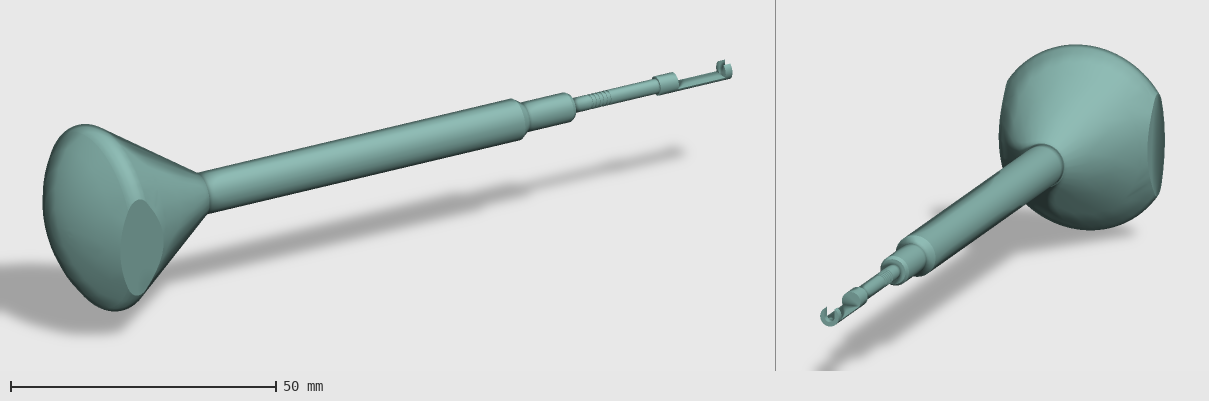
import cadquery as cq
import math


total_length = 144.0
grip_end = 30.1
shaft_end = 98.2
ferrule_start = 100.0
ferrule_end = 110.0
collar_start = 128.6
collar_end = 132.5
hook_thickness = 1.5
hook_start = total_length - hook_thickness

grip_radius = 18.0
grip_neck_radius = 4.3
rim_fillet = 3.0
dome_radius = 25.0
grip_width = 30.0

shaft_radius = 4.0
ferrule_radius = 2.9
ferrule_chamfer_length = 0.7
ferrule_chamfer_depth = 0.5
rod_radius = 1.5
collar_radius = 1.9
hook_floor = -0.79
notch_radius = 1.0

groove_count = 6
groove_width = 0.39
groove_pitch = 2 * groove_width
groove_depth = 0.1
first_groove = 113.9


def make_grip():
    """Domed knob with a rounded rim and a conical neck, cut by two flats."""
    rim_r = grip_radius - rim_fillet
    rim_y = dome_radius - math.sqrt((dome_radius - rim_fillet) ** 2 - rim_r**2)

    dome_scale = dome_radius / (dome_radius - rim_fillet)
    dome_edge = (rim_r * dome_scale, dome_radius + (rim_y - dome_radius) * dome_scale)
    half_angle = math.asin(dome_edge[0] / dome_radius) / 2
    dome_middle = (dome_radius * math.sin(half_angle), dome_radius * (1 - math.cos(half_angle)))

    neck_r = grip_neck_radius - rim_r
    neck_y = grip_end - rim_y
    tangent_angle = math.atan2(neck_y, neck_r) - math.acos(rim_fillet / math.hypot(neck_r, neck_y))
    cone_edge = (
        rim_r + rim_fillet * math.cos(tangent_angle),
        rim_y + rim_fillet * math.sin(tangent_angle),
    )

    knob = (
        cq.Workplane("XY")
        .moveTo(0, 0)
        .threePointArc(dome_middle, dome_edge)
        .threePointArc((grip_radius, rim_y), cone_edge)
        .lineTo(grip_neck_radius, grip_end)
        .lineTo(0, grip_end)
        .close()
        .revolve(360, (0, 0), (0, 1))
    )
    flats = cq.Workplane("XY").box(grip_width, 2 * grip_end, 2 * grip_radius)
    return knob.intersect(flats)


def make_stem():
    """Shaft, chamfered ferrule, thin rod and collar as one turned profile."""
    profile = [
        (0, grip_end),
        (shaft_radius, grip_end),
        (shaft_radius, shaft_end),
        (ferrule_radius, ferrule_start),
        (ferrule_radius, ferrule_end - ferrule_chamfer_length),
        (ferrule_radius - ferrule_chamfer_depth, ferrule_end),
        (rod_radius, ferrule_end),
        (rod_radius, collar_start),
        (collar_radius, collar_start),
        (collar_radius, total_length),
        (0, total_length),
    ]
    return cq.Workplane("XY").polyline(profile).close().revolve(360, (0, 0), (0, 1))


def along_y(section_radius, start, length):
    """Cylinder on the tool axis."""
    return cq.Workplane("XZ", origin=(0, start, 0)).circle(section_radius).extrude(-length)


def cut_hook(body):
    """Open the tip above a flat floor, leaving an end wall with a U-shaped notch."""
    opening = cq.Workplane("XY", origin=(0, collar_end, hook_floor)).box(
        2 * collar_radius, hook_start - collar_end, 2 * collar_radius, centered=(True, False, False)
    )
    notch = along_y(notch_radius, hook_start, hook_thickness)
    notch_mouth = cq.Workplane("XY", origin=(0, hook_start, 0)).box(
        2 * notch_radius, hook_thickness, collar_radius, centered=(True, False, False)
    )
    return body.cut(opening).cut(notch).cut(notch_mouth)


def cut_grooves(body):
    """Cut the evenly spaced ring grooves in the rod."""
    for index in range(groove_count):
        start = first_groove + index * groove_pitch
        ring = along_y(collar_radius, start, groove_width).cut(
            along_y(rod_radius - groove_depth, start, groove_width)
        )
        body = body.cut(ring)
    return body


result = cut_grooves(cut_hook(make_grip().union(make_stem())))